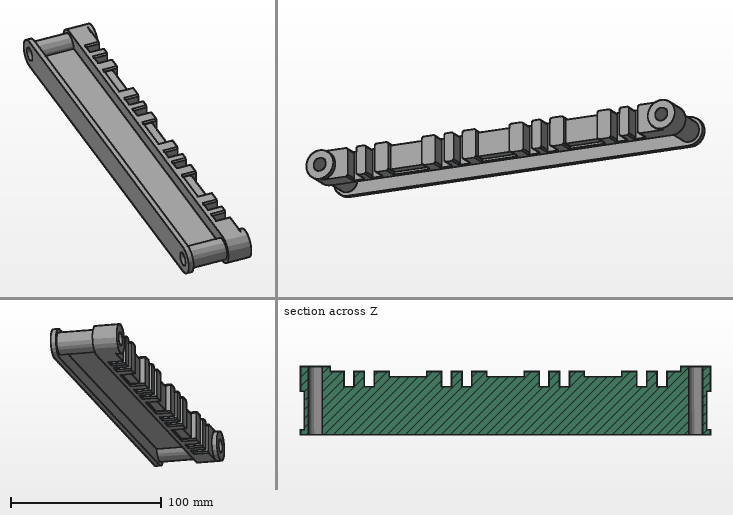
import cadquery as cq

length = 273.0
width = 45.5
height = 20.0

pin_offset = (length - height) / 2
hole_diameter = 9.0
post_diameter = 15.0

plate_thickness = 3.5
channel_width = 25.5
wall_thickness = 3.3
boss_overhang = 3.3
front_y = -width / 2
back_y = width / 2
channel_front_y = front_y + plate_thickness
wall_front_y = channel_front_y + channel_width
wall_back_y = wall_front_y + wall_thickness
tooth_back_y = back_y - boss_overhang

web_thickness = 2.0

group_count = 4
group_pitch = 65.0
group_span = 20.0
tooth_width = 7.0
slot_width = (group_span - tooth_width) / 2
block_width = 10.0
bay_width = group_pitch - group_span - 2 * block_width
edge_chamfer = 1.0

ledge_depth = 6.5
ledge_drop = 1.6


def box_between(x_min, x_max, y_min, y_max, box_height):
    """Box centred on Z that spans the given X and Y ranges."""
    return (
        cq.Workplane("XY")
        .box(x_max - x_min, y_max - y_min, box_height)
        .translate(((x_min + x_max) / 2, (y_min + y_max) / 2, 0))
    )


def end_cylinders(diameter, y_min, y_max):
    """Pair of cylinders along Y, one on each pin axis."""
    return (
        cq.Workplane("XZ", origin=(0, y_min, 0))
        .pushPoints([(-pin_offset, 0), (pin_offset, 0)])
        .circle(diameter / 2)
        .extrude(y_min - y_max)
    )


def round_ended_plate(y_min, y_max):
    """Full-length plate with semicircular ends."""
    return (
        cq.Workplane("XZ", origin=(0, y_min, 0))
        .slot2D(length, height)
        .extrude(y_min - y_max)
    )


def gap_cutter(x_center, gap_width):
    """Gap through the comb whose side walls are chamfered at top and bottom."""
    half_gap = gap_width / 2
    half_height = height / 2
    mouth = half_gap + edge_chamfer
    shoulder = half_height - edge_chamfer
    outline = [
        (-mouth, half_height),
        (-half_gap, shoulder),
        (-half_gap, -shoulder),
        (-mouth, -half_height),
        (mouth, -half_height),
        (half_gap, -shoulder),
        (half_gap, shoulder),
        (mouth, half_height),
    ]
    return (
        cq.Workplane("XZ", origin=(x_center, wall_back_y, 0))
        .polyline(outline)
        .close()
        .extrude(wall_back_y - tooth_back_y)
    )


def boss_relief():
    """Material behind the comb between the two end bosses, hollowed to their outline."""
    radius = height / 2
    return (
        cq.Workplane("XZ", origin=(0, tooth_back_y, 0))
        .moveTo(-pin_offset, radius)
        .lineTo(pin_offset, radius)
        .threePointArc((pin_offset - radius, 0), (pin_offset, -radius))
        .lineTo(-pin_offset, -radius)
        .threePointArc((-pin_offset + radius, 0), (-pin_offset, radius))
        .close()
        .extrude(tooth_back_y - back_y)
    )



body = round_ended_plate(wall_front_y, back_y).cut(boss_relief(), clean=False)

group_centers = [(i - (group_count - 1) / 2) * group_pitch for i in range(group_count)]
slot_offset = (tooth_width + slot_width) / 2
for center in group_centers:
    for side in (-1, 1):
        body = body.cut(gap_cutter(center + side * slot_offset, slot_width), clean=False)

for center in group_centers[:-1]:
    bay_center = center + group_pitch / 2
    body = body.cut(gap_cutter(bay_center, bay_width), clean=False)
    ledge = box_between(
        bay_center - bay_width / 2,
        bay_center + bay_width / 2,
        wall_back_y,
        wall_back_y + ledge_depth,
        height - 2 * ledge_drop,
    )
    body = body.union(ledge, clean=False)

front_frame = round_ended_plate(front_y, channel_front_y)
front_frame = front_frame.union(end_cylinders(post_diameter, channel_front_y, wall_front_y))
front_frame = front_frame.union(
    box_between(-pin_offset, pin_offset, channel_front_y, wall_front_y, web_thickness)
)
body = body.union(front_frame, clean=False)

result = body.cut(end_cylinders(hole_diameter, front_y, back_y), clean=False)